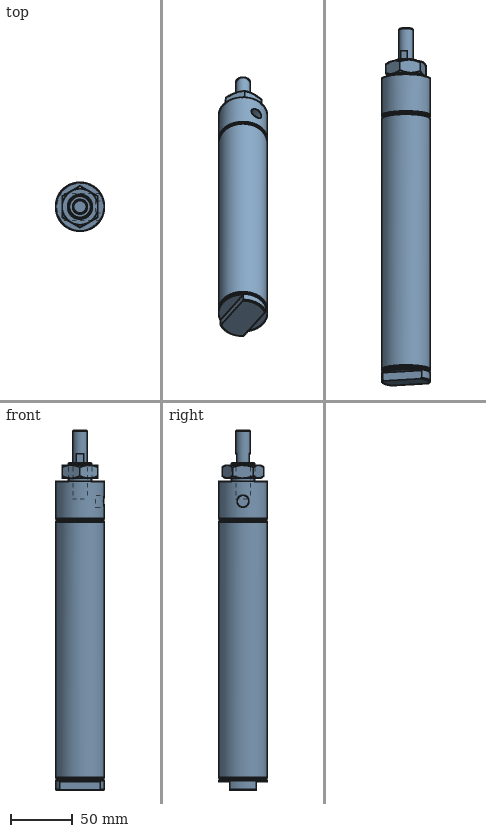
import cadquery as cq
import math

total_length = 290.5
body_diameter = 39.5
body_radius = body_diameter / 2

shoulder_height = 249.3
neck_top = 264.5
tongue_height = 6.7
rear_groove_height = 9.0
front_groove_height = 218.0

groove_width = 3.0
groove_floor_width = 1.2
groove_depth = 0.5
neck_diameter = 19.0
neck_chamfer = 1.0
tongue_thickness = 21.8
tongue_chamfer = 1.0

port_height = 233.3
port_diameter = 9.5
port_depth = 7.3

rod_diameter = 12.0
rod_chamfer = 1.0
rod_flat_width = 10.5
rod_flat_top = 271.7
rod_seat_depth = 29.0

nut_bottom = 252.0
nut_height = 10.5
nut_sides = 6
nut_across_flats = 29.0
nut_bore_chamfer = 0.5
nut_chamfer_height = 1.7
nut_chamfer_run = 2.3


def cylinder(diameter, bottom, top):
    """Upright cylinder on the Z axis between two heights."""
    return cq.Workplane("XY").workplane(offset=bottom).circle(diameter / 2).extrude(top - bottom)


def crimp_groove(height):
    """Taper-sided ring to cut around the body at the given height."""
    half_width = groove_width / 2
    half_floor = groove_floor_width / 2
    return (
        cq.Workplane("XZ")
        .moveTo(body_radius, height - half_width)
        .lineTo(body_radius - groove_depth, height - half_floor)
        .lineTo(body_radius - groove_depth, height + half_floor)
        .lineTo(body_radius, height + half_width)
        .close()
        .revolve(360, (0, 0, 0), (0, 1, 0))
    )


def make_body():
    """Tube with front head, threaded neck, crimp grooves and rear tongue."""
    barrel = cylinder(body_diameter, 0, shoulder_height).faces("<Z").chamfer(tongue_chamfer)
    neck = cylinder(neck_diameter, shoulder_height, neck_top).faces(">Z").chamfer(neck_chamfer)
    body = barrel.union(neck)

    for height in (rear_groove_height, front_groove_height):
        body = body.cut(crimp_groove(height))

    side_depth = body_radius
    for side in (-1, 1):
        side_block = (
            cq.Workplane("XY")
            .center(0, side * (tongue_thickness + side_depth) / 2)
            .rect(body_diameter, side_depth)
            .extrude(tongue_height)
        )
        body = body.cut(side_block)

    port = (
        cq.Workplane("YZ", origin=(body_radius - port_depth, 0, port_height))
        .circle(port_diameter / 2)
        .extrude(port_depth)
    )
    rod_socket = cylinder(rod_diameter, neck_top - rod_seat_depth, neck_top)
    return body.cut(port).cut(rod_socket)


def make_rod():
    """Piston rod with a chamfered tip and two wrench flats facing -Y and +Y."""
    rod = cylinder(rod_diameter, neck_top - rod_seat_depth, total_length).faces(">Z").chamfer(rod_chamfer)
    for side in (-1, 1):
        flat_cut = (
            cq.Workplane("XY", origin=(0, side * (rod_flat_width + rod_diameter) / 2, neck_top))
            .rect(rod_diameter, rod_diameter)
            .extrude(rod_flat_top - neck_top)
        )
        rod = rod.cut(flat_cut)
    return rod


def make_nut():
    """Hexagon nut with corners towards -Y and +Y, chamfered on both ends."""
    across_corners = nut_across_flats / math.cos(math.pi / nut_sides)
    nut = (
        cq.Workplane("XY", origin=(0, 0, nut_bottom))
        .transformed(rotate=(0, 0, 90))
        .polygon(nut_sides, across_corners)
        .extrude(nut_height)
    )
    chamfer_envelope = (
        cylinder(across_corners, nut_bottom, nut_bottom + nut_height)
        .faces("<Z or >Z")
        .chamfer(nut_chamfer_height, nut_chamfer_run)
    )
    nut_bore = cylinder(neck_diameter, nut_bottom, nut_bottom + nut_height)
    nut = nut.intersect(chamfer_envelope).cut(nut_bore)
    bore_edges = cq.selectors.RadiusNthSelector(0)
    return nut.faces("<Z or >Z").edges("%CIRCLE").edges(bore_edges).chamfer(nut_bore_chamfer)


body = make_body()
rod = make_rod()
nut = make_nut()

result = cq.Compound.makeCompound([body.val(), rod.val(), nut.val()])